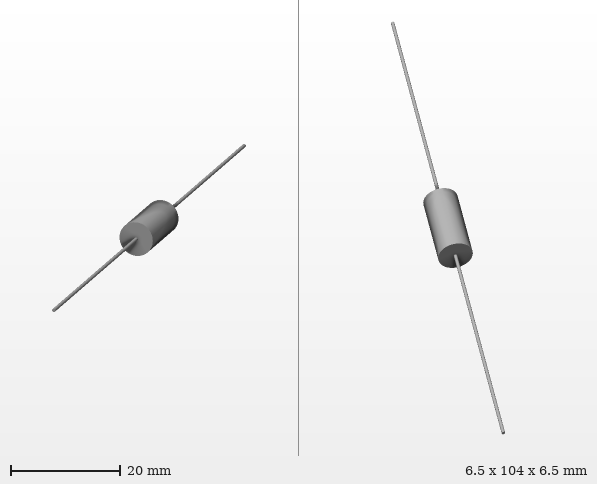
import cadquery as cq

overall_length = 104.0
body_length = 14.0
body_diameter = 6.5
lead_diameter = 0.65


def cylinder_along_y(diameter, length):
    """Solid cylinder on the Y axis, centred on the origin."""
    return cq.Workplane("XZ", origin=(0, length / 2, 0)).circle(diameter / 2).extrude(length)


body = cylinder_along_y(body_diameter, body_length)
leads = cylinder_along_y(lead_diameter, overall_length)

result = body.union(leads)